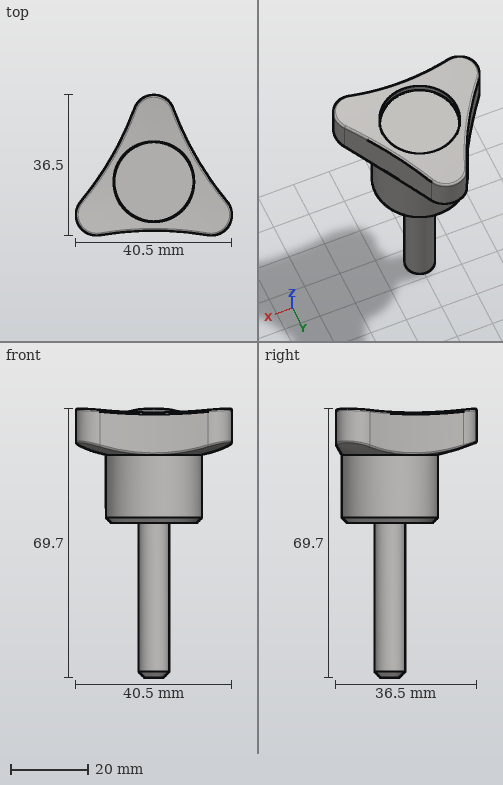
import cadquery as cq
import math

TOTAL_HEIGHT = 69.75
COLLAR_BOTTOM = 40.05

PIN_DIAMETER = 8.0
PIN_CHAMFER = 1.6

COLLAR_DIAMETER = 25.0
COLLAR_CHAMFER = 1.45
COLLAR_TOP = 57.75

LOBE_COUNT = 3
LOBE_DISTANCE = 17.15
LOBE_RADIUS = 5.4
FLANK_RADIUS = 82.3
HEAD_REACH = LOBE_DISTANCE + LOBE_RADIUS

TOP_SPHERE_RADIUS = 167.4
UNDERSIDE_RADIUS = 57.2
TOP_RIM_HEIGHT = 69.8
EDGE_FILLET = 0.55

RECESS_DIAMETER = 20.9
CAP_DIAMETER = 20.5
CAP_HEIGHT = 67
GAP_DEPTH = 0.4


def sphere_sag(sphere_radius, distance):
    """Height of a sphere above its lowest point, at a distance from its axis."""
    return sphere_radius - math.sqrt(sphere_radius**2 - distance**2)


def polar(radius, angle):
    return (radius * math.cos(math.radians(angle)), radius * math.sin(math.radians(angle)))


def head_outline():
    """Convex lobes joined by tangent concave flanks."""
    step = 360 / LOBE_COUNT
    half_step = step / 2
    half_chord = LOBE_DISTANCE * math.sin(math.radians(half_step))
    center_gap = FLANK_RADIUS + LOBE_RADIUS
    lean = math.degrees(math.asin(half_chord / center_gap))
    flank_middle = (
        LOBE_DISTANCE * math.cos(math.radians(half_step))
        + math.sqrt(center_gap**2 - half_chord**2)
        - FLANK_RADIUS
    )

    def tangent_point(angle, side):
        center_x, center_y = polar(LOBE_DISTANCE, angle)
        offset_x, offset_y = polar(LOBE_RADIUS, angle + side * (half_step + lean))
        return (center_x + offset_x, center_y + offset_y)

    first_angle = 90
    outline = cq.Workplane("XY").moveTo(*tangent_point(first_angle, -1))
    for lobe in range(LOBE_COUNT):
        angle = first_angle + lobe * step
        outline = outline.threePointArc(polar(HEAD_REACH, angle), tangent_point(angle, 1))
        outline = outline.threePointArc(
            polar(flank_middle, angle + half_step), tangent_point(angle + step, -1)
        )
    return outline.close()


def dished_envelope():
    """Turned body between the convex underside and the dished top."""
    reach = HEAD_REACH + LOBE_RADIUS
    middle = reach / 2
    underside_low = COLLAR_TOP - sphere_sag(UNDERSIDE_RADIUS, COLLAR_DIAMETER / 2)
    top_low = TOP_RIM_HEIGHT - sphere_sag(TOP_SPHERE_RADIUS, HEAD_REACH)

    def underside(distance):
        return (distance, underside_low + sphere_sag(UNDERSIDE_RADIUS, distance))

    def top(distance):
        return (distance, top_low + sphere_sag(TOP_SPHERE_RADIUS, distance))

    return (
        cq.Workplane("XZ")
        .moveTo(*underside(0))
        .threePointArc(underside(middle), underside(reach))
        .lineTo(*top(reach))
        .threePointArc(top(middle), top(0))
        .close()
        .revolve(360, (0, 0, 0), (0, 1, 0))
    )


def cylinder(diameter, bottom, top):
    return cq.Workplane("XY").workplane(offset=bottom).circle(diameter / 2).extrude(top - bottom)


def make_head():
    prism = head_outline().extrude(TOTAL_HEIGHT + LOBE_RADIUS)
    head = prism.intersect(dished_envelope())
    head = head.edges("not |Z").fillet(EDGE_FILLET)
    recess = cylinder(RECESS_DIAMETER, CAP_HEIGHT - GAP_DEPTH, TOTAL_HEIGHT)
    cap = cylinder(CAP_DIAMETER, CAP_HEIGHT - GAP_DEPTH, CAP_HEIGHT)
    return head.cut(recess).union(cap)


collar = cylinder(COLLAR_DIAMETER, COLLAR_BOTTOM, COLLAR_TOP).faces("<Z").chamfer(COLLAR_CHAMFER)
pin = cylinder(PIN_DIAMETER, 0, COLLAR_TOP).faces("<Z").chamfer(PIN_CHAMFER)

result = make_head().union(collar).union(pin)